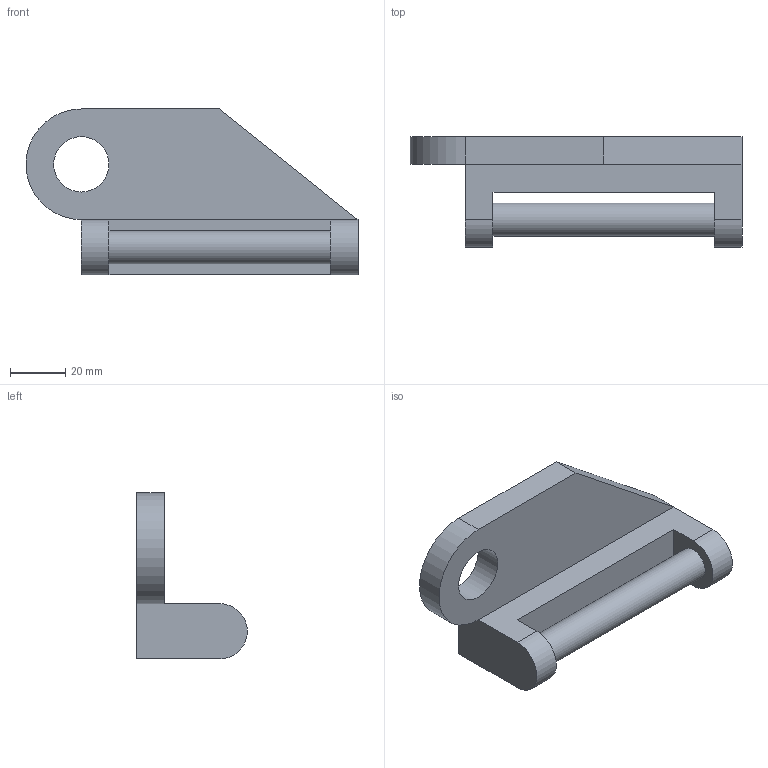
import cadquery as cq

base_length = 100.0
base_height = 20.0
rail_depth = 20.0
arm_width = 10.0
pin_diameter = 12.0
plate_thickness = 10.0
plate_height = 40.0
plate_top_length = 50.0
lug_hole_diameter = 20.0

arm_radius = base_height / 2
pin_y = -(rail_depth + arm_radius)
pin_z = base_height / 2
lug_radius = plate_height / 2
lug_center_z = base_height + lug_radius
plate_top_z = base_height + plate_height


def make_arm(x_start):
    """End arm: a flat side profile with a full-round front end, extruded along +X."""
    return (
        cq.Workplane("YZ", origin=(x_start, 0, 0))
        .moveTo(0, 0)
        .lineTo(pin_y, 0)
        .threePointArc((pin_y - arm_radius, pin_z), (pin_y, base_height))
        .lineTo(0, base_height)
        .close()
        .extrude(arm_width)
    )


def make_base():
    """Rear rail with an arm at each end and a round pin spanning the arms."""
    rail = cq.Workplane("XY").box(base_length, rail_depth, base_height, centered=False)
    base = rail.translate((0, -rail_depth, 0))
    for x_start in (0, base_length - arm_width):
        base = base.union(make_arm(x_start))
    pin = (
        cq.Workplane("YZ", origin=(arm_width / 2, 0, 0))
        .center(pin_y, pin_z)
        .circle(pin_diameter / 2)
        .extrude(base_length - arm_width)
    )
    return base.union(pin)


def make_plate():
    """Upright plate with a round lug at one end, a slope at the other and a through hole."""
    plate = (
        cq.Workplane("XZ")
        .moveTo(0, base_height)
        .lineTo(base_length, base_height)
        .lineTo(plate_top_length, plate_top_z)
        .lineTo(0, plate_top_z)
        .threePointArc((-lug_radius, lug_center_z), (0, base_height))
        .close()
        .extrude(plate_thickness)
    )
    hole = (
        cq.Workplane("XZ")
        .center(0, lug_center_z)
        .circle(lug_hole_diameter / 2)
        .extrude(plate_thickness)
    )
    return plate.cut(hole)


result = make_base().union(make_plate())